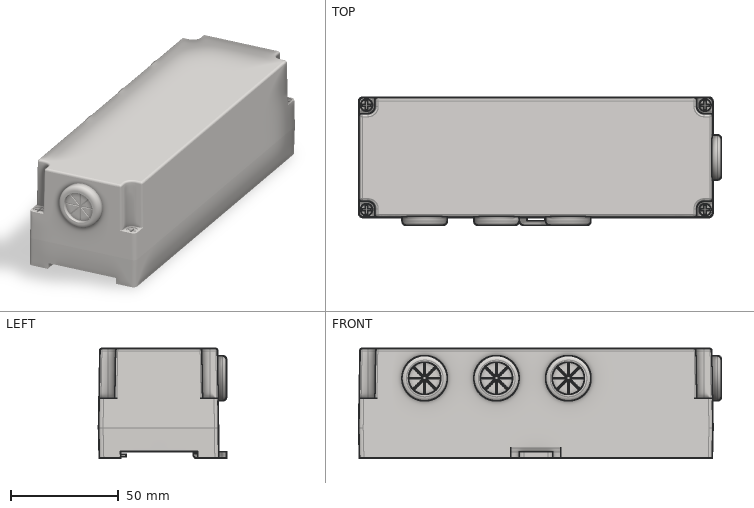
import cadquery as cq
import math

LENGTH = 164.7
WIDTH = 56.0
HEIGHT = 51.0
SEAM_HEIGHT = 14.2
LOWER_INSET = 0.3
DRAFT_ANGLE = 1.0
CORNER_RADIUS = 2.0
TOP_EDGE_RADIUS = 1.0

NOTCH_SIZE = 7.6
NOTCH_FLOOR = 27.8
SCREW_OFFSET = 3.7
NOTCH_INNER_RADIUS = 3.4
NOTCH_MOUTH_RADIUS = 0.8
SCREW_HEAD_DIAMETER = 5.5
SCREW_HEAD_SINK = 0.3
CROSS_LENGTH = 4.0
CROSS_WIDTH = 1.0
CROSS_DEPTH = 1.0

GLAND_DIAMETER = 21.0
GLAND_PROJECTION = 3.5
GLAND_ROOT = 3.4
GLAND_EDGE_RADIUS = 2.0
GLAND_RECESS_DIAMETER = 15.0
GLAND_RECESS_DEPTH = 2.0
GROOVE_COUNT = 8
GROOVE_WIDTH = 0.7
GROOVE_DEPTH = 0.5
GLAND_HEIGHT = 37.1
FIRST_GLAND_X = 30.7
GLAND_PITCH = 33.4
FRONT_GLAND_COUNT = 3
END_GLAND_TIP = 168.6

CHANNEL_FRONT = 10.0
CHANNEL_REAR = 45.7
CHANNEL_DEPTH = 3.0
HOOK_REACH = 2.5
HOOK_BOTTOM = 0.5
HOOK_TOP = 1.9
LATCH_TIP_REACH = 2.0
LATCH_TIP_CHAMFER = 1.0
LATCH_TIP_TOP = 2.2

LATCH_WIDTH = 23.1
LATCH_POCKET_HEIGHT = 5.0
LATCH_POCKET_DEPTH = 0.5
TAB_WIDTH = 15.5
TAB_HEIGHT = 3.0
TAB_PROJECTION = 3.5
TAB_CORNER_RADIUS = 2.2
TAB_SLOT_LENGTH = 8.1
TAB_SLOT_FRONT = -1.3

CLEARANCE = 1.7
WALL_TOLERANCE = 0.2

TOP_INSET = (HEIGHT - SEAM_HEIGHT) * math.tan(math.radians(DRAFT_ANGLE))
MID_X = LENGTH / 2
MID_Y = WIDTH / 2


def box(x_range, y_range, z_range):
    """Box spanning the given coordinate ranges."""
    (x0, x1), (y0, y1), (z0, z1) = x_range, y_range, z_range
    return cq.Workplane("XY").box(x1 - x0, y1 - y0, z1 - z0, centered=False).translate((x0, y0, z0))


def rounded_rectangle(margins, height):
    """Rounded outline at a height, set in by (left, right, front, rear) margins from the envelope."""
    left, right, front, rear = margins
    return (
        cq.Sketch()
        .push([((LENGTH + left - right) / 2, (WIDTH + front - rear) / 2)])
        .rect(LENGTH - left - right, WIDTH - front - rear)
        .reset()
        .vertices()
        .fillet(CORNER_RADIUS)
        .moved(cq.Location(cq.Vector(0, 0, height)))
    )


def make_body():
    """Base and cover, meeting at the seam; the front wall leans in evenly from bottom to top."""
    front_lean = TOP_INSET * SEAM_HEIGHT / HEIGHT
    bottom = rounded_rectangle((LOWER_INSET, LOWER_INSET, 0, LOWER_INSET), 0)
    seam = rounded_rectangle((0, 0, front_lean, 0), SEAM_HEIGHT)
    top = rounded_rectangle((TOP_INSET, TOP_INSET, TOP_INSET, TOP_INSET), HEIGHT)
    base = cq.Workplane("XY").placeSketch(bottom, seam).loft(ruled=True)
    cover = cq.Workplane("XY").placeSketch(seam, top).loft(ruled=True)
    return base, cover


def at_each_corner(tool):
    """The tool of the left front corner, mirrored to all four corners."""
    front_pair = tool.union(tool.mirror("YZ", (MID_X, 0, 0)))
    return front_pair.union(front_pair.mirror("XZ", (0, MID_Y, 0)))


def make_notch():
    """Corner cutter with a rounded inner corner, widening upwards."""
    span = NOTCH_SIZE + CLEARANCE
    return (
        cq.Workplane("XY", origin=(-CLEARANCE, -CLEARANCE, NOTCH_FLOOR))
        .lineTo(span, 0)
        .lineTo(span, span - NOTCH_INNER_RADIUS)
        .radiusArc((span - NOTCH_INNER_RADIUS, span), -NOTCH_INNER_RADIUS)
        .lineTo(0, span)
        .close()
        .extrude(HEIGHT - NOTCH_FLOOR + CLEARANCE, taper=-DRAFT_ANGLE)
    )


def make_screw_recess():
    """Cutter that leaves a sunken round screw head with a cross slot."""
    head_top = cq.Workplane("XY", origin=(SCREW_OFFSET, SCREW_OFFSET, NOTCH_FLOOR - SCREW_HEAD_SINK))
    recess = head_top.circle(SCREW_HEAD_DIAMETER / 2).extrude(SCREW_HEAD_SINK)
    for arm in ((CROSS_LENGTH, CROSS_WIDTH), (CROSS_WIDTH, CROSS_LENGTH)):
        recess = recess.union(head_top.rect(*arm).extrude(-CROSS_DEPTH))
    return recess


class OuterWallEdges(cq.Selector):
    """Edges whose midpoint lies on one of the four outer walls."""

    def filter(self, objects):
        wall_depth = TOP_INSET + WALL_TOLERANCE

        def on_wall(edge):
            mid = edge.Center()
            return min(mid.x, LENGTH - mid.x, mid.y, WIDTH - mid.y) < wall_depth

        return [edge for edge in objects if on_wall(edge)]


def cut_notches(cover):
    """Cut the corner notches, round their mouths and the whole top rim, then add the screws."""
    cover = cover.cut(at_each_corner(make_notch()))
    reach = NOTCH_SIZE + 2 * CLEARANCE
    for x0, x1 in ((0, reach), (LENGTH - reach, LENGTH)):
        for y0, y1 in ((0, reach), (WIDTH - reach, WIDTH)):
            corner = cq.selectors.BoxSelector(
                (x0, y0, NOTCH_FLOOR + CLEARANCE),
                (x1, y1, HEIGHT - CLEARANCE),
            )
            mouth_edges = cover.edges(corner).edges(OuterWallEdges())
            cover = mouth_edges.fillet(NOTCH_MOUTH_RADIUS)
    cover = cover.faces(">Z").edges().fillet(TOP_EDGE_RADIUS)
    return cover.cut(at_each_corner(make_screw_recess()))


def make_gland():
    """Gland on the axis Z pointing upwards, outer face at Z = 0, with radial grooves in its recess."""
    radius = GLAND_DIAMETER / 2
    gland = (
        cq.Workplane("XY")
        .circle(radius)
        .extrude(-(GLAND_PROJECTION + GLAND_ROOT))
        .faces(">Z")
        .edges()
        .fillet(GLAND_EDGE_RADIUS)
    )
    recess = cq.Workplane("XY").circle(GLAND_RECESS_DIAMETER / 2).extrude(-GLAND_RECESS_DEPTH)
    gland = gland.cut(recess)
    for i in range(GROOVE_COUNT // 2):
        groove = (
            cq.Workplane("XY", origin=(0, 0, -GLAND_RECESS_DEPTH))
            .rect(GLAND_RECESS_DIAMETER, GROOVE_WIDTH)
            .extrude(-GROOVE_DEPTH)
            .rotate((0, 0, 0), (0, 0, 1), i * 360 / GROOVE_COUNT)
        )
        gland = gland.cut(groove)
    return gland


def add_glands(body):
    """Three glands on the front wall and one on the right end."""
    gland = make_gland()
    front_gland = gland.rotate((0, 0, 0), (1, 0, 0), 90)
    for i in range(FRONT_GLAND_COUNT):
        x = FIRST_GLAND_X + i * GLAND_PITCH
        body = body.union(front_gland.translate((x, -GLAND_PROJECTION, GLAND_HEIGHT)))
    end_gland = gland.rotate((0, 0, 0), (0, 1, 0), 90)
    return body.union(end_gland.translate((END_GLAND_TIP, MID_Y, GLAND_HEIGHT)))


def cut_rail_channel(body):
    """Channel through the whole length, with a fixed hook at the rear and the latch tip in front."""
    body = body.cut(box((0, LENGTH), (CHANNEL_FRONT, CHANNEL_REAR), (0, CHANNEL_DEPTH)))
    latch_range = (MID_X - LATCH_WIDTH / 2, MID_X + LATCH_WIDTH / 2)
    hook = box(latch_range, (CHANNEL_REAR - HOOK_REACH, CHANNEL_REAR), (HOOK_BOTTOM, HOOK_TOP))
    tip_range = (CHANNEL_FRONT, CHANNEL_FRONT + LATCH_TIP_REACH)
    tip = box(latch_range, tip_range, (0, LATCH_TIP_TOP))
    tip = tip.edges("|X and >Y and <Z").chamfer(LATCH_TIP_CHAMFER)
    return body.union(hook).union(tip)


def add_latch(body):
    """Sloped pocket in the front wall, and the pull tab with its slot."""
    pocket_outline = [
        (-CLEARANCE, 0),
        (LATCH_POCKET_DEPTH, 0),
        (LATCH_POCKET_DEPTH, TAB_HEIGHT),
        (0, LATCH_POCKET_HEIGHT),
        (-CLEARANCE, LATCH_POCKET_HEIGHT),
    ]
    pocket = (
        cq.Workplane("YZ", origin=(MID_X - LATCH_WIDTH / 2, 0, 0))
        .polyline(pocket_outline)
        .close()
        .extrude(LATCH_WIDTH)
    )
    tab = box(
        (MID_X - TAB_WIDTH / 2, MID_X + TAB_WIDTH / 2),
        (-TAB_PROJECTION, LATCH_POCKET_DEPTH),
        (0, TAB_HEIGHT),
    )
    tab = tab.edges("|Z and <Y").fillet(TAB_CORNER_RADIUS)
    slot = box(
        (MID_X - TAB_SLOT_LENGTH / 2, MID_X + TAB_SLOT_LENGTH / 2),
        (TAB_SLOT_FRONT, LATCH_POCKET_DEPTH),
        (0, TAB_HEIGHT),
    )
    return body.cut(pocket).union(tab.cut(slot))


base, cover = make_body()
housing = cut_notches(cover).union(base)
housing = cut_rail_channel(housing)
housing = add_latch(housing)
result = add_glands(housing)